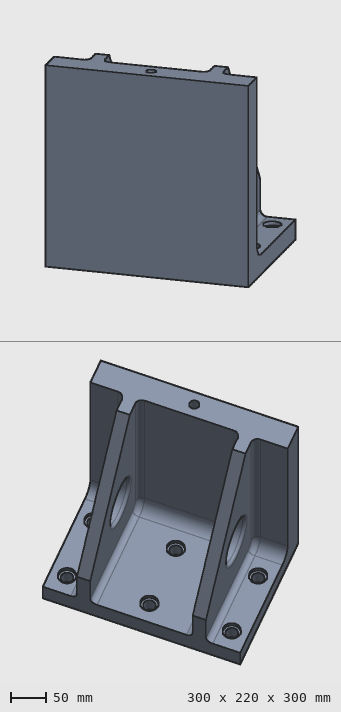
import cadquery as cq
import math

width = 300.0
depth = 220.0
height = 300.0

plate_thickness = 40.0
base_thickness = 30.0
corner_radius = 20.0

web_thickness = 20.0
web_center_offset = 88.0
web_top_end = 70.0
web_rear_height = 85.0
web_root_radius = 10.0

window_diameter = 70.0
window_y = 105.0
window_z = 125.0
window_rim_radius = 5.0

bolt_diameter = 18.0
counterbore_diameter = 26.0
counterbore_depth = 6.0
bolt_spacing_x = 125.0
bolt_rows_y = (90.0, 190.0)

top_hole_diameter = 14.0
top_hole_depth = 30.0
drill_point_angle = 118.0


def make_angle_body():
    """L-shaped base and plate, centered on X, with a rounded inside corner."""
    profile = (
        cq.Workplane("YZ")
        .polyline([
            (0, 0),
            (depth, 0),
            (depth, base_thickness),
            (plate_thickness, base_thickness),
            (plate_thickness, height),
            (0, height),
        ])
        .close()
    )
    body = profile.extrude(width / 2, both=True)
    inside_corner = cq.selectors.NearestToPointSelector((0, plate_thickness, base_thickness))
    return body.edges(inside_corner).fillet(corner_radius)


def make_web(center_x):
    """Gusset with a sloped rear edge."""
    return (
        cq.Workplane("YZ", origin=(center_x, 0, 0))
        .polyline([
            (0, 0),
            (depth, 0),
            (depth, web_rear_height),
            (web_top_end, height),
            (0, height),
        ])
        .close()
        .extrude(web_thickness / 2, both=True)
    )


def web_side_box(side_x, y_min, y_max, z_min, z_max):
    """Thin selection box around one side face of a web."""
    margin = 0.3
    return cq.selectors.BoxSelector(
        (side_x - margin, y_min - margin, z_min - margin),
        (side_x + margin, y_max + margin, z_max + margin),
    )


def fillet_web_roots(body):
    """Round both sides of each web along the base, corner and plate."""
    corner_y = plate_thickness + corner_radius
    corner_z = base_thickness + corner_radius
    roots = []
    for center_x in web_centers:
        for side in (-1, 1):
            side_x = center_x + side * web_thickness / 2
            for box in (
                web_side_box(side_x, plate_thickness, plate_thickness, corner_z, height),
                web_side_box(side_x, plate_thickness, corner_y, base_thickness, corner_z),
                web_side_box(side_x, corner_y, depth, base_thickness, base_thickness),
            ):
                roots += body.edges(box).vals()
    return body.newObject(roots).fillet(web_root_radius)


def cut_windows(body):
    """Bore the webs and round the rims of the bore."""
    window = (
        cq.Workplane("YZ")
        .center(window_y, window_z)
        .circle(window_diameter / 2)
        .extrude(width / 2, both=True)
    )
    body = body.cut(window)
    rims = body.edges("%CIRCLE").filter(
        lambda edge: abs(edge.radius() - window_diameter / 2) < 0.03
    )
    return rims.fillet(window_rim_radius)


def cut_base_holes(body):
    """Two rows of three counterbored through holes."""
    points = [(x, y) for x in (-bolt_spacing_x, 0, bolt_spacing_x) for y in bolt_rows_y]
    return (
        body.copyWorkplane(cq.Workplane("XY", origin=(0, 0, base_thickness)))
        .pushPoints(points)
        .cboreHole(bolt_diameter, counterbore_diameter, counterbore_depth, base_thickness)
    )


def cut_top_hole(body):
    """Blind hole with a conical drill point, at mid-thickness of the plate."""
    radius = top_hole_diameter / 2
    point_length = radius / math.tan(math.radians(drill_point_angle / 2))
    floor_z = height - top_hole_depth
    drill = (
        cq.Workplane("XZ", origin=(0, plate_thickness / 2, 0))
        .polyline([
            (0, height),
            (radius, height),
            (radius, floor_z),
            (0, floor_z - point_length),
        ])
        .close()
        .revolve(360, (0, 0), (0, 1))
    )
    return body.cut(drill)


web_centers = (-web_center_offset, web_center_offset)

result = make_angle_body()
for web_x in web_centers:
    result = result.union(make_web(web_x))
result = fillet_web_roots(result)
result = cut_windows(result)
result = cut_base_holes(result)
result = cut_top_hole(result)